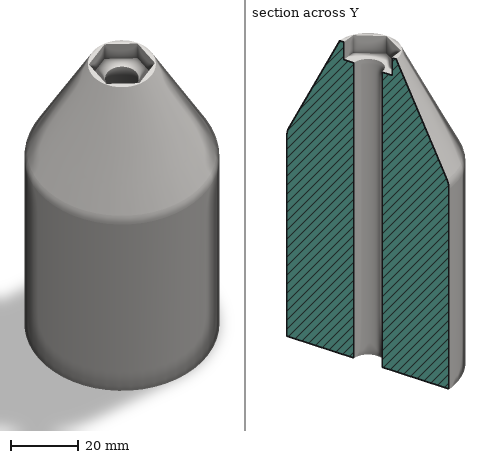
import cadquery as cq
import math

body_diameter = 58.0
total_height = 106.82
straight_height = 68.4
shoulder_radius = 6.5
tip_diameter = 20.2
hole_diameter = 10.0
hex_across_flats = 17.0
hex_depth = 6.0

body_radius = body_diameter / 2
tip_radius = tip_diameter / 2
hex_across_corners = hex_across_flats / math.cos(math.radians(30))
corner_turn = 30.0


def shoulder_point(angle):
    """Return (radius, height) on the shoulder arc, with the angle measured up from horizontal."""
    center_radius = body_radius - shoulder_radius
    return (
        center_radius + shoulder_radius * math.cos(angle),
        straight_height + shoulder_radius * math.sin(angle),
    )


def shoulder_end_angle():
    """Return the arc angle at which a tangent line passes through the rim of the tip."""
    rim_offset = tip_radius - (body_radius - shoulder_radius)
    rim_rise = total_height - straight_height
    rim_distance = math.hypot(rim_offset, rim_rise)
    return math.atan2(rim_rise, rim_offset) - math.acos(shoulder_radius / rim_distance)


def make_body():
    """Cylinder with a conical nose, joined by a shoulder arc tangent to both."""
    end_angle = shoulder_end_angle()
    return (
        cq.Workplane("XZ")
        .lineTo(body_radius, 0)
        .lineTo(body_radius, straight_height)
        .threePointArc(shoulder_point(end_angle / 2), shoulder_point(end_angle))
        .lineTo(tip_radius, total_height)
        .lineTo(0, total_height)
        .close()
        .revolve(360, (0, 0), (0, 1))
    )


def make_hex_pocket():
    """Hexagonal pocket sunk into the flat tip."""
    return (
        cq.Workplane("XY")
        .workplane(offset=total_height - hex_depth)
        .polygon(6, hex_across_corners)
        .extrude(hex_depth)
        .rotate((0, 0, 0), (0, 0, 1), corner_turn)
    )


def make_through_hole():
    """Round hole along the whole axis."""
    return cq.Workplane("XY").circle(hole_diameter / 2).extrude(total_height)


result = make_body().cut(make_hex_pocket()).cut(make_through_hole())